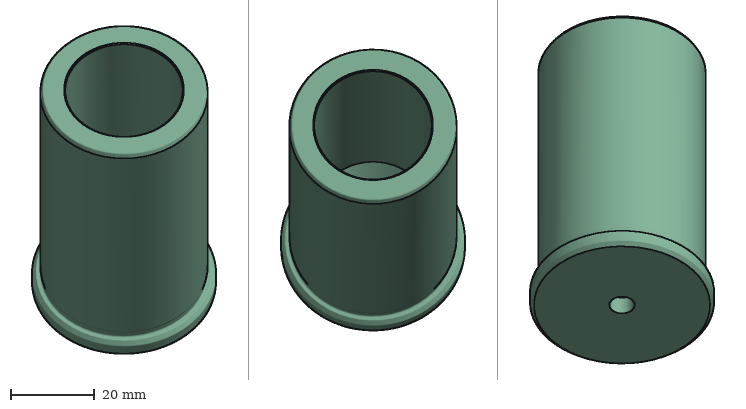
import cadquery as cq
import math

total_height = 75.0
body_radius = 40.0 / 2
lead_in_width = 0.6
lead_in_angle = math.radians(30)
lead_in_height = lead_in_width / math.tan(lead_in_angle)
lead_in_rounding = 0.4

flange_radius = 44.0 / 2
flange_height = 5.0
flange_chamfer = 1.0
flange_rounding = 0.35

relief_radius = 39.7 / 2
relief_straight_length = 1.5
relief_taper_angle = math.radians(15)
relief_root_fillet = 0.4
relief_straight_top = flange_height + relief_straight_length
relief_taper_top = relief_straight_top + (body_radius - relief_radius) / math.tan(relief_taper_angle)

bore_radius = 28.0 / 2
bore_mouth_chamfer = 0.3
funnel_radius = 15.0 / 2
outlet_radius = 6.0 / 2
outlet_length = 5.0
cone_angle = math.radians(45)
funnel_angle = math.radians(60)
funnel_top = outlet_length + (funnel_radius - outlet_radius) * math.tan(funnel_angle)
cone_top = funnel_top + (bore_radius - funnel_radius) * math.tan(cone_angle)

position_tolerance = 1e-4


def revolve_about_z(profile_points):
    """Turn a closed (radius, height) outline around the Z axis."""
    return cq.Workplane("XZ").polyline(profile_points).close().revolve(360, (0, 0, 0), (0, 1, 0))


def round_rim(body, rim_radius, rim_height, rounding):
    """Fillet the circular edge that has the given radius and height."""

    def is_rim(edge):
        same_radius = abs(edge.radius() - rim_radius) < position_tolerance
        same_height = abs(edge.Center().z - rim_height) < position_tolerance
        return same_radius and same_height

    return body.edges("%CIRCLE").filter(is_rim).fillet(rounding)


def make_outer_body():
    """Sharp-edged outside of the sleeve, flange and relief, without the bore."""
    return revolve_about_z([
        (0, 0),
        (flange_radius - flange_chamfer, 0),
        (flange_radius, flange_chamfer),
        (flange_radius, flange_height - flange_chamfer),
        (flange_radius - flange_chamfer, flange_height),
        (relief_radius, flange_height),
        (relief_radius, relief_straight_top),
        (body_radius, relief_taper_top),
        (body_radius, total_height - lead_in_height),
        (body_radius - lead_in_width, total_height),
        (0, total_height),
    ])


def round_outer_rims(body):
    """Round the lead-in, the flange rims and the root of the relief."""
    body = round_rim(body, body_radius - lead_in_width, total_height, lead_in_rounding)
    body = round_rim(body, relief_radius, flange_height, relief_root_fillet)
    body = round_rim(body, flange_radius - flange_chamfer, flange_height, flange_rounding)
    body = round_rim(body, flange_radius, flange_height - flange_chamfer, flange_rounding)
    return round_rim(body, flange_radius, flange_chamfer, flange_rounding)


def make_bore():
    """Solid that fills the bore from the open outlet up to the chamfered mouth."""
    return revolve_about_z([
        (0, 0),
        (outlet_radius, 0),
        (outlet_radius, outlet_length),
        (funnel_radius, funnel_top),
        (bore_radius, cone_top),
        (bore_radius, total_height - bore_mouth_chamfer),
        (bore_radius + bore_mouth_chamfer, total_height),
        (0, total_height),
    ])


result = round_outer_rims(make_outer_body()).cut(make_bore())